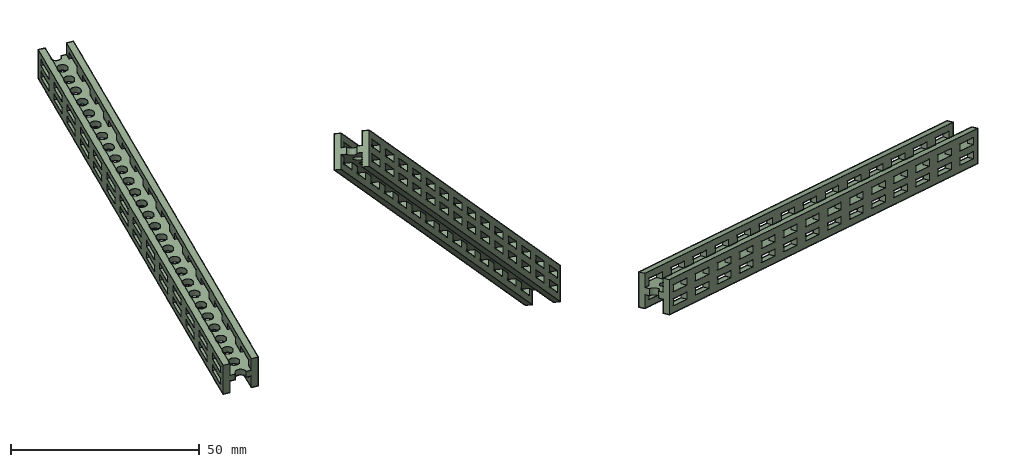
import cadquery as cq

length = 140.0
width = 10.0
height = 10.0

flange_thickness = 2.0
web_thickness = 2.0

hole_diameter = 3.0
hole_pitch = 5.0
hole_count = round(length / hole_pitch) + 1

slot_length = 6.0
slot_height = 2.0
slot_pitch = 2 * hole_pitch
slot_count = round(length / slot_pitch)
slot_row_height = (web_thickness + slot_height) / 2


def row_positions(count, pitch, offset):
    """Points evenly spaced along the beam, centred on it, at one sideways offset."""
    return [((i - (count - 1) / 2) * pitch, offset) for i in range(count)]


def make_beam():
    """Plain H-section: a web with a flange along each long side."""
    beam = cq.Workplane("XY").box(length, width, web_thickness)
    flange_offset = (width - flange_thickness) / 2
    for side in (-1, 1):
        flange = cq.Workplane("XY").box(length, flange_thickness, height)
        beam = beam.union(flange.translate((0, side * flange_offset, 0)))
    return beam


def make_web_holes():
    """One row of vertical cylinders along the middle of the web."""
    return (
        cq.Workplane("XY")
        .pushPoints(row_positions(hole_count, hole_pitch, 0))
        .circle(hole_diameter / 2)
        .extrude(web_thickness / 2, both=True)
    )


def make_flange_slots():
    """Two rows of rectangular bars whose inner faces lie flush with the web."""
    points = []
    for side in (-1, 1):
        points += row_positions(slot_count, slot_pitch, side * slot_row_height)
    return (
        cq.Workplane("XZ")
        .pushPoints(points)
        .rect(slot_length, slot_height)
        .extrude(width / 2, both=True)
    )


result = make_beam().cut(make_web_holes()).cut(make_flange_slots())